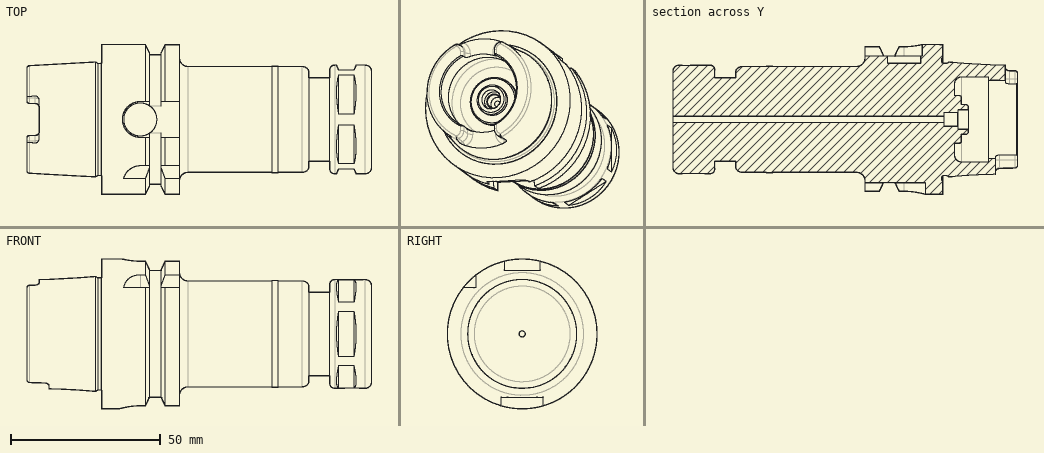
import cadquery as cq
import math

TOTAL_LENGTH = 115.0
TAPER_END = 22.9
FLANGE_START = 25.0
FLANGE_END = 51.0
BODY_END = 94.1
NUT_START = 101.0

TIP_RADIUS = 17.9
TAPER_RADIUS = 19.2
TIP_FILLET = 0.9
RELIEF_SLOPE = 0.8
RELIEF_RADIUS = 18.7
RELIEF_FILLET = 0.7
FACE_RECESS_RADIUS = 20.4
FACE_RECESS_DEPTH = 0.3

FLANGE_DIAMETER = 50.0
FLANGE_RADIUS = FLANGE_DIAMETER / 2
GROOVE_RADIUS = 21.6
GROOVE_START = 39.6
GROOVE_END = 46.1
GROOVE_SLOPE = 1.4
GROOVE_STEP = 0.6

BODY_RADIUS = 17.7
BAND_RADIUS = 17.8
BAND_START = 81.8
BAND_END = 83.8
BODY_ROOT_FILLET = 2.8
BODY_END_ROUND = 2.5
BODY_END_ROUND_LENGTH = 2.3
NECK_DIAMETER = 28.0
NECK_RADIUS = NECK_DIAMETER / 2
NUT_RADIUS = 18.2
NUT_INNER_ROUND = 1.7
NUT_OUTER_ROUND = 2.2

FLAT_COUNT = 6
FLAT_DISTANCE = 16.6
FLAT_START = 104.0
FLAT_END = 109.1
FLAT_WALL_SLOPE = 0.7

MOUTH_RADIUS = 13.5
BORE_RADIUS = 13.0
MOUTH_CHAMFER = 0.5
UNDERCUT_RADIUS = 14.1
UNDERCUT_START = 9.8
FLOOR_DEPTH = 21.0
FLOOR_FILLET = 2.3
COOLANT_DIAMETER = 2.0

COLLAR_DIAMETER = 16.0
COLLAR_CHAMFER = 0.5
COLLAR_HEIGHT = 2.3
NOZZLE_DIAMETER = 10.0
NOZZLE_CHAMFER = 0.6
NOZZLE_HEIGHT = 2.3
SOCKET_DIAMETER = 6.4
SOCKET_DEPTH = 3.5
PILOT_DIAMETER = 4.5
PILOT_CHAMFER = 0.2
PILOT_DEPTH = 4.6

KEY_WIDTH = 10.6
UPPER_KEY_DEPTH = 4.1
LOWER_KEY_DEPTH = 7.4
KEY_FLARE_START = 13.5
KEY_FLARE_RADIUS = 2.8
KEY_FLARE_ANGLE = 70.0
KEY_FLOOR_FILLET = 1.4

SLOT_CENTER = 37.8
SLOT_FLOOR = 21.2
UPPER_SLOT_WIDTH = 12.0
LOWER_SLOT_WIDTH = 14.0
POCKET_DIAMETER = 11.0
POCKET_FLOOR = 18.7
NOTCH_OFFSET = 15.4
NOTCH_RADIUS = 5.8

CLEARANCE = 5.8

QUARTER_INSET = 1 - math.sqrt(0.5)


def make_turned_body():
    """Outer shape with the coolant hole through it, turned about the X axis."""
    body_end_drop = BODY_END_ROUND - math.sqrt(BODY_END_ROUND**2 - BODY_END_ROUND_LENGTH**2)
    face_recess_x = FLANGE_START + FACE_RECESS_DEPTH
    profile = (
        cq.Workplane("XY")
        .moveTo(0, COOLANT_DIAMETER / 2)
        .lineTo(0, TIP_RADIUS)
        .lineTo(TAPER_END, TAPER_RADIUS)
        .lineTo(TAPER_END + RELIEF_SLOPE, RELIEF_RADIUS)
        .lineTo(face_recess_x - RELIEF_FILLET, RELIEF_RADIUS)
        .threePointArc(
            (face_recess_x - RELIEF_FILLET * QUARTER_INSET, RELIEF_RADIUS + RELIEF_FILLET * QUARTER_INSET),
            (face_recess_x, RELIEF_RADIUS + RELIEF_FILLET),
        )
        .lineTo(face_recess_x, FACE_RECESS_RADIUS)
        .lineTo(FLANGE_START, FACE_RECESS_RADIUS)
        .lineTo(FLANGE_START, FLANGE_RADIUS)
        .lineTo(GROOVE_START, FLANGE_RADIUS)
        .lineTo(GROOVE_START + GROOVE_SLOPE, GROOVE_RADIUS + GROOVE_STEP)
        .lineTo(GROOVE_START + GROOVE_SLOPE, GROOVE_RADIUS)
        .lineTo(GROOVE_END - GROOVE_SLOPE, GROOVE_RADIUS)
        .lineTo(GROOVE_END - GROOVE_SLOPE, GROOVE_RADIUS + GROOVE_STEP)
        .lineTo(GROOVE_END, FLANGE_RADIUS)
        .lineTo(FLANGE_END, FLANGE_RADIUS)
        .lineTo(FLANGE_END, BODY_RADIUS + BODY_ROOT_FILLET)
        .threePointArc(
            (FLANGE_END + BODY_ROOT_FILLET * QUARTER_INSET, BODY_RADIUS + BODY_ROOT_FILLET * QUARTER_INSET),
            (FLANGE_END + BODY_ROOT_FILLET, BODY_RADIUS),
        )
        .lineTo(BAND_START, BODY_RADIUS)
        .lineTo(BAND_START, BAND_RADIUS)
        .lineTo(BAND_END, BAND_RADIUS)
        .lineTo(BAND_END, BODY_RADIUS)
        .lineTo(BODY_END - BODY_END_ROUND_LENGTH, BODY_RADIUS)
        .tangentArcPoint((BODY_END, BODY_RADIUS - body_end_drop), relative=False)
        .lineTo(BODY_END, NECK_RADIUS)
        .lineTo(NUT_START, NECK_RADIUS)
        .lineTo(NUT_START, NUT_RADIUS - NUT_INNER_ROUND)
        .threePointArc(
            (NUT_START + NUT_INNER_ROUND * QUARTER_INSET, NUT_RADIUS - NUT_INNER_ROUND * QUARTER_INSET),
            (NUT_START + NUT_INNER_ROUND, NUT_RADIUS),
        )
        .lineTo(TOTAL_LENGTH - NUT_OUTER_ROUND, NUT_RADIUS)
        .threePointArc(
            (TOTAL_LENGTH - NUT_OUTER_ROUND * QUARTER_INSET, NUT_RADIUS - NUT_OUTER_ROUND * QUARTER_INSET),
            (TOTAL_LENGTH, NUT_RADIUS - NUT_OUTER_ROUND),
        )
        .lineTo(TOTAL_LENGTH, COOLANT_DIAMETER / 2)
        .close()
    )
    return profile.revolve(360, (0, 0, 0), (1, 0, 0))


def make_bore():
    """Main bore with a wider chamber behind it; the stepped connector is left standing on its floor."""
    collar_x = FLOOR_DEPTH - COLLAR_HEIGHT
    collar_radius = COLLAR_DIAMETER / 2
    nozzle_x = collar_x - NOZZLE_HEIGHT
    nozzle_radius = NOZZLE_DIAMETER / 2
    socket_radius = SOCKET_DIAMETER / 2
    socket_floor = nozzle_x + SOCKET_DEPTH
    pilot_radius = PILOT_DIAMETER / 2
    pilot_floor = socket_floor + PILOT_DEPTH
    fillet_inset = FLOOR_FILLET * QUARTER_INSET
    profile = (
        cq.Workplane("XY")
        .moveTo(0, 0)
        .lineTo(0, MOUTH_RADIUS)
        .lineTo(MOUTH_CHAMFER, BORE_RADIUS)
        .lineTo(UNDERCUT_START, BORE_RADIUS)
        .lineTo(UNDERCUT_START, UNDERCUT_RADIUS)
        .lineTo(FLOOR_DEPTH - FLOOR_FILLET, UNDERCUT_RADIUS)
        .threePointArc(
            (FLOOR_DEPTH - fillet_inset, UNDERCUT_RADIUS - fillet_inset),
            (FLOOR_DEPTH, UNDERCUT_RADIUS - FLOOR_FILLET),
        )
        .lineTo(FLOOR_DEPTH, collar_radius)
        .lineTo(collar_x + COLLAR_CHAMFER, collar_radius)
        .lineTo(collar_x, collar_radius - COLLAR_CHAMFER)
        .lineTo(collar_x, nozzle_radius)
        .lineTo(nozzle_x + NOZZLE_CHAMFER, nozzle_radius)
        .lineTo(nozzle_x, nozzle_radius - NOZZLE_CHAMFER)
        .lineTo(nozzle_x, socket_radius)
        .lineTo(socket_floor, socket_radius)
        .lineTo(socket_floor, pilot_radius + PILOT_CHAMFER)
        .lineTo(socket_floor + PILOT_CHAMFER, pilot_radius)
        .lineTo(pilot_floor, pilot_radius)
        .lineTo(pilot_floor, 0)
        .close()
    )
    return profile.revolve(360, (0, 0, 0), (1, 0, 0))


def make_key_slot(depth):
    """Driving slot at +Z of the tip; its walls flare outward and its floor corners are rounded."""
    half = KEY_WIDTH / 2
    top = TAPER_RADIUS + CLEARANCE
    flare_angle = math.radians(KEY_FLARE_ANGLE)

    def flare_point(angle):
        y = half + KEY_FLARE_RADIUS * (1 - math.cos(angle))
        z = KEY_FLARE_START + KEY_FLARE_RADIUS * math.sin(angle)
        return y, z

    middle_y, middle_z = flare_point(flare_angle / 2)
    end_y, end_z = flare_point(flare_angle)
    top_y = end_y + (top - end_z) * math.tan(flare_angle)
    return (
        cq.Workplane("YZ", origin=(-CLEARANCE, 0, 0))
        .moveTo(-half, 0)
        .lineTo(half, 0)
        .lineTo(half, KEY_FLARE_START)
        .threePointArc((middle_y, middle_z), (end_y, end_z))
        .lineTo(top_y, top)
        .lineTo(-top_y, top)
        .lineTo(-end_y, end_z)
        .threePointArc((-middle_y, middle_z), (-half, KEY_FLARE_START))
        .close()
        .extrude(CLEARANCE + depth)
        .faces(">X").edges("not |Y")
        .fillet(KEY_FLOOR_FILLET)
    )


def make_flange_slot(width):
    """Round-ended slot at +Z, open towards the body."""
    length = FLANGE_END - SLOT_CENTER
    height = FLANGE_RADIUS + CLEARANCE - SLOT_FLOOR
    base = cq.Workplane("XY", origin=(SLOT_CENTER, 0, SLOT_FLOOR))
    channel = base.center(length / 2, 0).rect(length, width).extrude(height)
    rounded_end = (
        cq.Workplane("XY", origin=(SLOT_CENTER, 0, SLOT_FLOOR))
        .circle(width / 2)
        .extrude(height)
    )
    return channel.union(rounded_end)


def make_locating_pocket():
    """Round blind pocket at the closed end of the upper slot."""
    return (
        cq.Workplane("XY", origin=(SLOT_CENTER, 0, POCKET_FLOOR))
        .circle(POCKET_DIAMETER / 2)
        .extrude(FLANGE_RADIUS - POCKET_FLOOR)
    )


def make_notch():
    """Corner notch on the -Y, +Z side of the flange, with a rounded blind end."""
    height = FLANGE_RADIUS - NOTCH_OFFSET
    end_center_y = -NOTCH_OFFSET - NOTCH_RADIUS
    base = cq.Workplane("XY", origin=(SLOT_CENTER, end_center_y, NOTCH_OFFSET))
    length = FLANGE_END - SLOT_CENTER
    channel = base.center(length / 2, 0).rect(length, 2 * NOTCH_RADIUS).extrude(height)
    return channel.union(base.circle(NOTCH_RADIUS).extrude(height))


def make_wrench_flat():
    """Flat-bottomed recess on the -Y side of the nut, with sloped end walls."""
    half_chord = math.sqrt(NUT_RADIUS**2 - FLAT_DISTANCE**2)
    return (
        cq.Workplane("XY", origin=(0, 0, -half_chord))
        .polyline([
            (FLAT_START, -FLAT_DISTANCE),
            (FLAT_END, -FLAT_DISTANCE),
            (FLAT_END + FLAT_WALL_SLOPE, -NUT_RADIUS),
            (FLAT_START - FLAT_WALL_SLOPE, -NUT_RADIUS),
        ])
        .close()
        .extrude(2 * half_chord)
    )


def half_turn(shape):
    """Turn a shape from the +Z side to the -Z side."""
    return shape.rotate((0, 0, 0), (1, 0, 0), 180)


result = make_turned_body()
result = result.cut(make_key_slot(UPPER_KEY_DEPTH))
result = result.cut(half_turn(make_key_slot(LOWER_KEY_DEPTH)))
result = result.faces("<X").edges().fillet(TIP_FILLET)
result = result.cut(make_bore())

result = result.cut(make_flange_slot(UPPER_SLOT_WIDTH)).cut(make_locating_pocket())
result = result.cut(half_turn(make_flange_slot(LOWER_SLOT_WIDTH)))
result = result.cut(make_notch())

wrench_flat = make_wrench_flat()
for index in range(FLAT_COUNT):
    angle = index * 360 / FLAT_COUNT
    result = result.cut(wrench_flat.rotate((0, 0, 0), (1, 0, 0), angle))